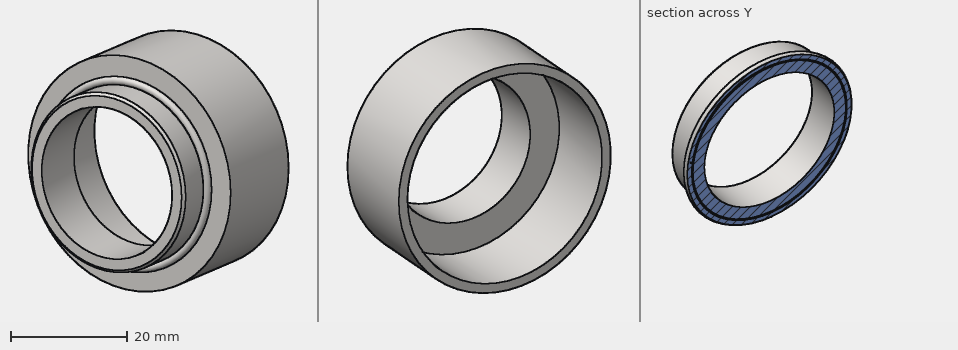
import cadquery as cq

body_diameter = 42.0
spigot_diameter = 32.0
bore_diameter = 27.0
total_length = 25.0
body_length = 18.0
tip_chamfer = 0.5

socket_diameter = 38.5
bore_length = 10.0

ring_outer_diameter = 34.78
ring_section_diameter = 1.43
ring_section_radius = ring_section_diameter / 2
ring_center_radius = ring_outer_diameter / 2 - ring_section_radius
ring_center_y = -ring_section_radius


def cylinder_along_y(diameter, y_start, y_end):
    """Solid cylinder centred on the Y axis between two Y positions."""
    plane = cq.Workplane("XZ", origin=(0, y_end, 0))
    return plane.circle(diameter / 2).extrude(y_end - y_start)


def sealing_ring():
    """Torus around the Y axis."""
    section = cq.Workplane("XY").center(ring_center_radius, ring_center_y).circle(ring_section_radius)
    axis_point = (-ring_center_radius, 0)
    axis_end = (-ring_center_radius, 1)
    return section.revolve(360, axis_point, axis_end)


tip_y = body_length - total_length
body = cylinder_along_y(body_diameter, 0, body_length)
spigot = cylinder_along_y(spigot_diameter, tip_y, 0).faces("<Y").chamfer(tip_chamfer)
bore = cylinder_along_y(bore_diameter, tip_y, body_length)
socket = cylinder_along_y(socket_diameter, tip_y + bore_length, body_length)

result = body.union(spigot).union(sealing_ring()).cut(bore).cut(socket)